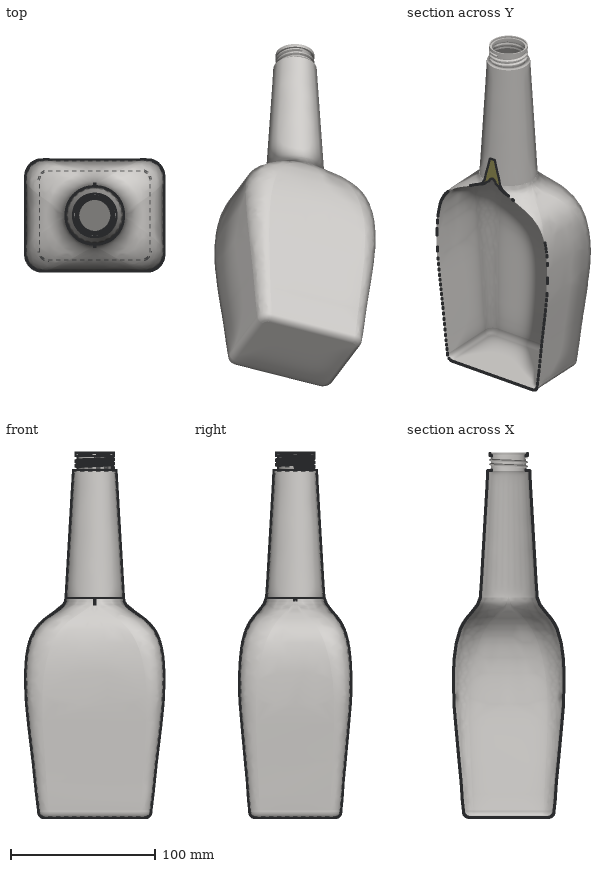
import cadquery as cq
import math

total_height = 253.0
neck_top_height = 241.0
shoulder_height = 152.5

wall = 1.0
base_height = 5.0
base_fillet = 4.5

neck_bottom_radius = 20.2
neck_top_radius = 30.0 / 2

mouth_crest_radius = 26.8 / 2
mouth_root_radius = 24.0 / 2
bore_radius = 23.0 / 2
rim_bore_radius = 12.6
rim_height = 2.3
rim_bore_depth = 1.3
thread_pitch = 3.0
thread_base_width = 2.3
thread_crest_width = 0.8
thread_overlap = 0.3
thread_end_gap = 0.3

max_half_x = 96.5 / 2
max_half_y = 78.0 / 2
body_sections = [
    (39.2, 31.9, 7.5),
    (41.0, 33.1, 8.0),
    (42.5, 34.5, 8.5),
    (44.3, 36.0, 9.4),
    (46.0, 37.2, 10.0),
    (47.5, 38.5, 11.5),
    (max_half_x, max_half_y, 12.6),
    (47.8, 38.5, 14.5),
    (45.0, 36.5, 16.7),
    (34.6, 30.0, 19.0),
    (neck_bottom_radius, neck_bottom_radius, 20.0),
]
section_step = (shoulder_height - base_height) / (len(body_sections) - 1)


def rounded_section(height, half_x, half_y, corner):
    """Closed rounded rectangle, always four sides and four corner arcs."""
    diagonal = corner * (1 - math.sqrt(0.5))
    flat_x = half_x - corner
    flat_y = half_y - corner
    return (
        cq.Workplane("XY", origin=(0, 0, height))
        .moveTo(-flat_x, -half_y)
        .lineTo(flat_x, -half_y)
        .threePointArc((half_x - diagonal, diagonal - half_y), (half_x, -flat_y))
        .lineTo(half_x, flat_y)
        .threePointArc((half_x - diagonal, half_y - diagonal), (flat_x, half_y))
        .lineTo(-flat_x, half_y)
        .threePointArc((diagonal - half_x, half_y - diagonal), (-half_x, flat_y))
        .lineTo(-half_x, -flat_y)
        .threePointArc((diagonal - half_x, diagonal - half_y), (-flat_x, -half_y))
        .close()
        .wire()
        .val()
    )


def body(inset):
    """Lofted body on a rounded base, its sides and floor moved inward by the inset."""
    wires = [
        rounded_section(base_height + i * section_step, half_x - inset, half_y - inset, corner - inset)
        for i, (half_x, half_y, corner) in enumerate(body_sections)
    ]
    upper = cq.Workplane(cq.Solid.makeLoft(wires, False))
    base_direction = cq.Vector(0, 0, inset - base_height)
    base = cq.Workplane(cq.Solid.extrudeLinear(wires[0], [], base_direction))
    base = base.faces("<Z").edges().fillet(base_fillet - inset)
    return upper.union(base)


def neck(inset):
    """Cone between the shoulder and the threaded mouth."""
    return cq.Workplane(
        cq.Solid.makeCone(
            neck_bottom_radius - inset,
            neck_top_radius - inset,
            neck_top_height - shoulder_height,
            cq.Vector(0, 0, shoulder_height),
        )
    )


def cylinder(radius, bottom, top):
    return cq.Workplane("XY", origin=(0, 0, bottom)).circle(radius).extrude(top - bottom)


def thread(root_radius, crest_radius):
    """Helical ridge of trapezoid section, overlapping the wall it stands on."""
    bottom = neck_top_height + thread_base_width / 2 + thread_end_gap
    top = total_height - rim_height - thread_base_width / 2 - thread_end_gap
    path = cq.Wire.makeHelix(thread_pitch, top - bottom, root_radius, cq.Vector(0, 0, bottom))
    half_base = thread_base_width / 2
    half_crest = thread_crest_width / 2
    return (
        cq.Workplane("XZ", origin=(0, 0, bottom))
        .polyline([
            (root_radius - thread_overlap, -half_base),
            (crest_radius, -half_crest),
            (crest_radius, half_crest),
            (root_radius - thread_overlap, half_base),
        ])
        .close()
        .sweep(cq.Workplane(path), isFrenet=True)
    )


ledge = cylinder(neck_top_radius, neck_top_height - wall, neck_top_height)
cavity = body(wall).union(neck(wall).cut(ledge))
bottle = body(0).union(neck(0)).cut(cavity)
bottle = bottle.cut(cylinder(bore_radius, neck_top_height - wall, neck_top_height))

mouth = cylinder(mouth_root_radius, neck_top_height, total_height)
mouth = mouth.union(cylinder(mouth_crest_radius, total_height - rim_height, total_height))
mouth = mouth.cut(cylinder(bore_radius, neck_top_height, total_height))
mouth = mouth.cut(cylinder(rim_bore_radius, total_height - rim_bore_depth, total_height))
mouth = mouth.union(thread(mouth_root_radius, mouth_crest_radius))
mouth = mouth.cut(thread(bore_radius, rim_bore_radius))

result = bottle.union(mouth)